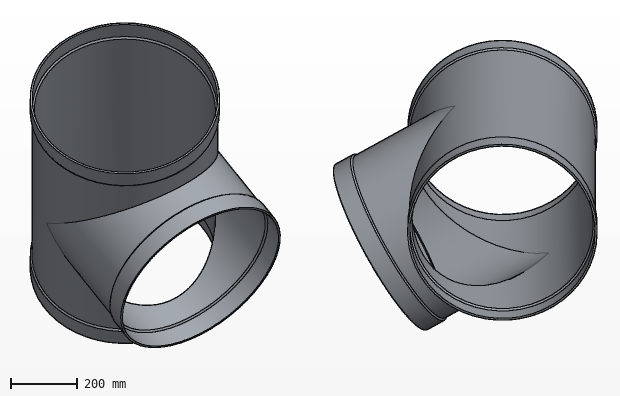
import cadquery as cq

height = 848.0
branch_reach = 424.0
tube_bore = 548.0
tube_diameter = 561.0
socket_bore = 560.0
socket_diameter = 572.0
socket_length = 60.0
taper_length = 5.0

half_height = height / 2


def socket_profile(reach, narrow_diameter, wide_diameter):
    """(radius, distance) points along a tube that widens through a cone to an end socket."""
    narrow = narrow_diameter / 2
    wide = wide_diameter / 2
    socket_start = reach - socket_length
    taper_start = socket_start - taper_length
    return [(narrow, taper_start), (wide, socket_start), (wide, reach), (0, reach)]


def revolved(points):
    """Solid of revolution about Z from (radius, height) points."""
    return cq.Workplane("XZ").polyline(points).close().revolve(360, (0, 0, 0), (0, 1, 0))


def tee_solid(narrow_diameter, wide_diameter):
    """Upright run with a socket at each end, joined by an equal branch along +X."""
    upper_half = socket_profile(half_height, narrow_diameter, wide_diameter)
    lower_half = [(radius, -z) for radius, z in reversed(upper_half)]
    run = revolved(lower_half + upper_half)

    branch_half = socket_profile(branch_reach, narrow_diameter, wide_diameter)
    branch = revolved([(0, 0), (narrow_diameter / 2, 0)] + branch_half)
    branch = branch.rotate((0, 0, 0), (0, 1, 0), 90)
    return run.union(branch)


outside = tee_solid(tube_diameter, socket_diameter)
bore = tee_solid(tube_bore, socket_bore)
result = outside.cut(bore)